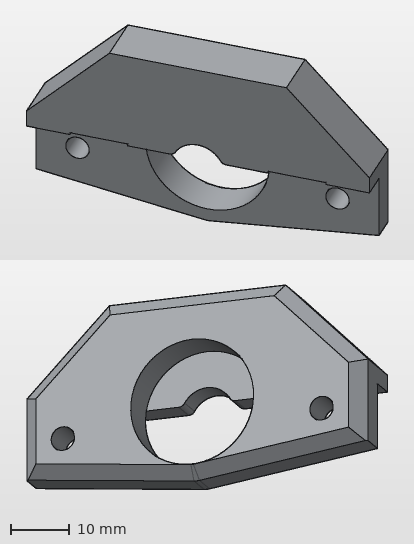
import cadquery as cq
import math

body_width = 62.0
height = 33.35
depth = 12.0
half_width = body_width / 2

corner_cut = 15.0
flank_bottom_z = 3.7
tip_half_width = 0.5

lip_depth = 4.85
lip_bottom_z = 15.3

rear_bevel = 2.6
bottom_bevel = 2.25

bore_diameter = 22.3
bore_z = 13.5
arch_radius = 4.7
arch_foot_fillet = 1.25

hole_diameter = 4.2
hole_offset = 23.5
hole_z = 9.6

relief_width = 10.4
relief_height = 0.4
relief_offset = 17.9

shoulder_z = height - corner_cut


def box_between(x0, x1, y0, y1, z0, z1):
    """Box given by its limits along each axis."""
    return cq.Workplane("XY").box(x1 - x0, y1 - y0, z1 - z0, centered=False).translate((x0, y0, z0))


def cylinder_along_y(x, z, radius, y0, y1):
    """Cylinder parallel to Y between two Y positions."""
    axis = cq.Vector(0, 1, 0)
    return cq.Workplane(cq.Solid.makeCylinder(radius, y1 - y0, cq.Vector(x, y0, z), axis))


def make_blank():
    """Full-depth blank with a rounded bottom tip and a beveled rear edge."""
    tip_sagitta = tip_half_width * math.tan(math.atan2(flank_bottom_z, half_width) / 2)
    blank = (
        cq.Workplane("XZ")
        .moveTo(-tip_half_width, tip_sagitta)
        .threePointArc((0, 0), (tip_half_width, tip_sagitta))
        .lineTo(half_width, flank_bottom_z)
        .lineTo(half_width, shoulder_z)
        .lineTo(half_width - corner_cut, height)
        .lineTo(corner_cut - half_width, height)
        .lineTo(-half_width, shoulder_z)
        .lineTo(-half_width, flank_bottom_z)
        .close()
        .extrude(-depth)
    )
    bottom_edges = cq.selectors.BoxSelector(
        (-half_width, depth - rear_bevel, 0),
        (half_width, depth + rear_bevel, flank_bottom_z),
    )
    other_edges = cq.selectors.InverseSelector(bottom_edges)
    blank = blank.faces(">Y").edges(other_edges).chamfer(rear_bevel)
    return blank.faces(">Y").edges(bottom_edges).chamfer(bottom_bevel)


def make_lip_opening():
    """Arch through the lip with rounded feet tangent to the lip underside."""
    fillet_rise = lip_bottom_z + arch_foot_fillet - bore_z
    center_distance = arch_radius + arch_foot_fillet
    foot_x = math.sqrt(center_distance**2 - fillet_rise**2)
    tangent_x = foot_x * arch_radius / center_distance
    tangent_z = bore_z + fillet_rise * arch_radius / center_distance
    half_angle = (math.pi / 2 + math.atan2(fillet_rise, foot_x)) / 2
    fillet_mid_x = foot_x - arch_foot_fillet * math.cos(half_angle)
    fillet_mid_z = lip_bottom_z + arch_foot_fillet * (1 - math.sin(half_angle))
    return (
        cq.Workplane("XZ")
        .moveTo(-foot_x, lip_bottom_z)
        .threePointArc((-fillet_mid_x, fillet_mid_z), (-tangent_x, tangent_z))
        .threePointArc((0, bore_z + arch_radius), (tangent_x, tangent_z))
        .threePointArc((fillet_mid_x, fillet_mid_z), (foot_x, lip_bottom_z))
        .close()
        .extrude(-lip_depth)
    )


def make_relief(x):
    """Shallow notch across the lip underside."""
    return box_between(
        x - relief_width / 2,
        x + relief_width / 2,
        0,
        lip_depth,
        lip_bottom_z,
        lip_bottom_z + relief_height,
    )


result = make_blank()
result = result.cut(box_between(-half_width, half_width, 0, lip_depth, 0, lip_bottom_z))
result = result.cut(cylinder_along_y(0, bore_z, bore_diameter / 2, lip_depth, depth))
result = result.cut(make_lip_opening())
for side in (-1, 1):
    hole_x = side * hole_offset
    result = result.cut(cylinder_along_y(hole_x, hole_z, hole_diameter / 2, lip_depth, depth))
    result = result.cut(make_relief(side * relief_offset))